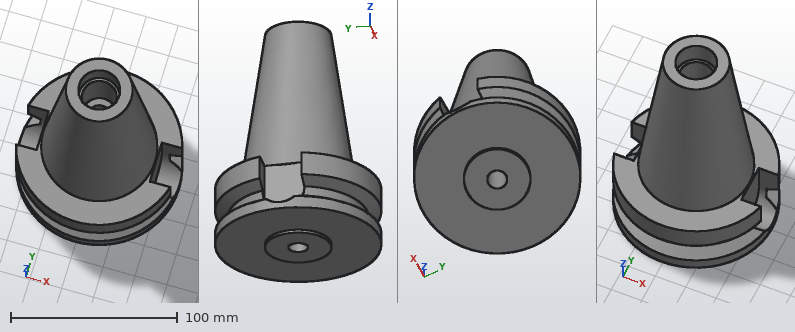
import cadquery as cq

total_height = 141.8
spigot_height = 2.0
flange_top = 38.9
gauge_height = 40.0

flange_radius = 49.98
spigot_radius = 20.0
gauge_radius = 34.9
taper_ratio = 7 / 24
tip_radius = gauge_radius - (total_height - gauge_height) * taper_ratio / 2

groove_root_radius = 42.4
groove_middle = 16.9
groove_root_width = 6.2
groove_mouth_width = 14.9

slot_width = 25.7
slot_floor_distance = 35.5
slot_bottom = 6.1

counterbore_radius = 12.5
counterbore_depth = 13.8
thread_bore_radius = 10.5
thread_bore_depth = 45.0
through_radius = 6.0


def make_body():
    """Revolve the spigot, grooved flange and taper about Z."""
    profile = [
        (0, 0),
        (spigot_radius, 0),
        (spigot_radius, spigot_height),
        (flange_radius, spigot_height),
        (flange_radius, groove_middle - groove_mouth_width / 2),
        (groove_root_radius, groove_middle - groove_root_width / 2),
        (groove_root_radius, groove_middle + groove_root_width / 2),
        (flange_radius, groove_middle + groove_mouth_width / 2),
        (flange_radius, flange_top),
        (gauge_radius, flange_top),
        (gauge_radius, gauge_height),
        (tip_radius, total_height),
        (0, total_height),
    ]
    return cq.Workplane("XZ").polyline(profile).close().revolve(360, (0, 0), (0, 1))


def make_drive_slot(side):
    """Cutter for a round-bottomed slot, open at the top and rim of the flange."""
    end_radius = slot_width / 2
    arc_height = slot_bottom + end_radius
    return (
        cq.Workplane("YZ", origin=(side * slot_floor_distance, 0, 0))
        .moveTo(-end_radius, flange_top)
        .lineTo(-end_radius, arc_height)
        .threePointArc((0, slot_bottom), (end_radius, arc_height))
        .lineTo(end_radius, flange_top)
        .close()
        .extrude(side * flange_radius)
    )


def bore_cutter(radius, depth):
    """Cylinder sunk from the small end of the taper."""
    return cq.Workplane("XY", origin=(0, 0, total_height)).circle(radius).extrude(-depth)


result = make_body()
for side in (-1, 1):
    result = result.cut(make_drive_slot(side))

result = result.cut(bore_cutter(counterbore_radius, counterbore_depth))
result = result.cut(bore_cutter(thread_bore_radius, thread_bore_depth))
result = result.cut(bore_cutter(through_radius, total_height))